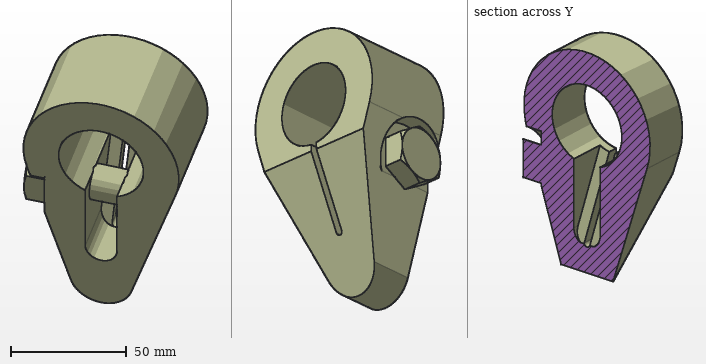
import cadquery as cq
import math

OVERALL_HEIGHT = 117.27
HUB_RADIUS = 34.925
FOOT_RADIUS = 14.2875
FOOT_DROP = OVERALL_HEIGHT - HUB_RADIUS - FOOT_RADIUS
BODY_DEPTH = 44.45
BORE_DIAMETER = 38.1

BACK_SLOPE_TOP = -22.2
BACK_SLOPE_ANGLE = 25.0
SLOPE_WALL = 6.35

SLOT_BOTTOM = -57.3
WIDE_SLOT_WIDTH = 14.2875
SAW_SLOT_WIDTH = 3.175

BOLT_Y = 14.2875
BOLT_Z = -25.4
SHANK_DIAMETER = 15.875
HEAD_ACROSS_FLATS = 23.8125
HEAD_HEIGHT = 9.935
HEAD_CHAMFER_ANGLE = 30.0
SEAT_X = -25.4
SEAT_RADIUS = 17.4625

FRONT_PLANE = cq.Plane(origin=(0, 0, 0), xDir=(1, 0, 0), normal=(0, -1, 0))
SEAT_PLANE = cq.Plane(origin=(SEAT_X, BOLT_Y, BOLT_Z), xDir=(0, -1, 0), normal=(-1, 0, 0))


def teardrop():
    """Hub and foot arcs joined by their common tangent lines, extruded from the front to the back."""
    tangent_sine = (HUB_RADIUS - FOOT_RADIUS) / FOOT_DROP
    tangent_cosine = math.sqrt(1 - tangent_sine**2)
    hub_x = HUB_RADIUS * tangent_cosine
    hub_z = -HUB_RADIUS * tangent_sine
    foot_x = FOOT_RADIUS * tangent_cosine
    foot_z = -FOOT_DROP - FOOT_RADIUS * tangent_sine
    return (
        cq.Workplane(FRONT_PLANE)
        .moveTo(-hub_x, hub_z)
        .threePointArc((0, HUB_RADIUS), (hub_x, hub_z))
        .lineTo(foot_x, foot_z)
        .threePointArc((0, -FOOT_DROP - FOOT_RADIUS), (-foot_x, foot_z))
        .close()
        .extrude(-BODY_DEPTH)
    )


def behind_slope(wall):
    """Everything behind a plane parallel to the sloped back, set forward of it by the wall along Y."""
    slope = math.tan(math.radians(BACK_SLOPE_ANGLE))
    top_z = HUB_RADIUS
    bottom_z = -FOOT_DROP - 2 * FOOT_RADIUS
    top_y = BODY_DEPTH - wall + slope * (top_z - BACK_SLOPE_TOP)
    bottom_y = BODY_DEPTH - wall + slope * (bottom_z - BACK_SLOPE_TOP)
    far_y = 2 * BODY_DEPTH
    return (
        cq.Workplane("YZ")
        .polyline([(bottom_y, bottom_z), (top_y, top_z), (far_y, top_z), (far_y, bottom_z)])
        .close()
        .extrude(HUB_RADIUS, both=True)
    )


def round_ended_slot(width):
    """Slot running down from the bore axis to a round end, cut through the full depth."""
    radius = width / 2
    end_center_z = SLOT_BOTTOM + radius
    return (
        cq.Workplane(FRONT_PLANE)
        .moveTo(-radius, 0)
        .lineTo(-radius, end_center_z)
        .threePointArc((0, SLOT_BOTTOM), (radius, end_center_z))
        .lineTo(radius, 0)
        .close()
        .extrude(-BODY_DEPTH)
    )


def bolt_seat():
    """Round spotface that gives the bolt head a flat seat on the tapered flank."""
    return cq.Workplane(SEAT_PLANE).circle(SEAT_RADIUS).extrude(HUB_RADIUS)


def bolt_head():
    """Hexagon with corners up and down, its outer corners trimmed by a cone."""
    flat_radius = HEAD_ACROSS_FLATS / 2
    corner_radius = flat_radius / math.cos(math.pi / 6)
    chamfer = (corner_radius - flat_radius) * math.tan(math.radians(HEAD_CHAMFER_ANGLE))
    hexagon = (
        cq.Workplane(SEAT_PLANE)
        .transformed(rotate=(0, 0, 90))
        .polygon(6, 2 * corner_radius)
        .extrude(HEAD_HEIGHT)
    )
    envelope = (
        cq.Workplane(SEAT_PLANE)
        .circle(corner_radius)
        .extrude(HEAD_HEIGHT)
        .faces("<X")
        .chamfer(chamfer, corner_radius - flat_radius)
    )
    return hexagon.intersect(envelope)


def bolt_shank():
    """Shank from the head across the slot to an equal distance on the far side."""
    shank_length = 2 * abs(SEAT_X)
    return cq.Workplane(SEAT_PLANE).circle(SHANK_DIAMETER / 2).extrude(-shank_length)


def clamp_body():
    """Bored and slotted teardrop with its sloped back and bolt seat."""
    bore = cq.Workplane(FRONT_PLANE).circle(BORE_DIAMETER / 2).extrude(-BODY_DEPTH)
    wide_slot = round_ended_slot(WIDE_SLOT_WIDTH).cut(behind_slope(wall=SLOPE_WALL))
    return (
        teardrop()
        .cut(behind_slope(wall=0))
        .cut(bore)
        .cut(wide_slot)
        .cut(round_ended_slot(SAW_SLOT_WIDTH))
        .cut(bolt_seat())
    )


result = clamp_body().union(bolt_head()).union(bolt_shank())